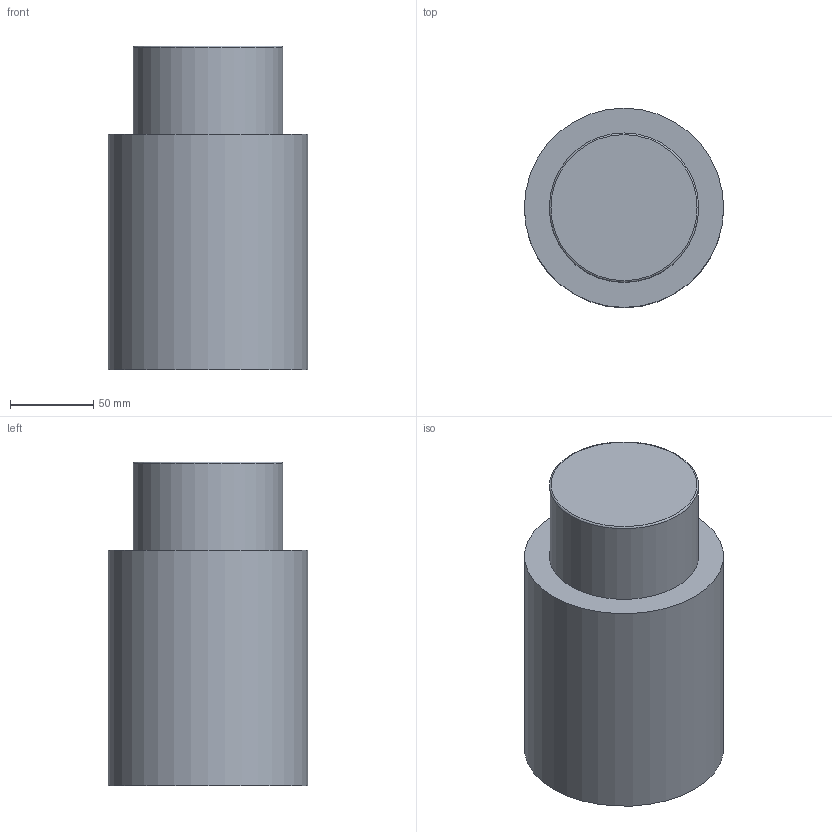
import cadquery as cq

body_diameter = 120.0
body_height = 142.0
neck_diameter = 90.0
total_height = 195.0
neck_fillet = 1.0

neck_height = total_height - body_height


def make_body():
    """Large cylinder standing on the XY plane."""
    return cq.Workplane("XY").circle(body_diameter / 2).extrude(body_height)


def make_neck():
    """Smaller coaxial cylinder on top of the body, with a rounded top edge."""
    neck = (
        cq.Workplane("XY")
        .workplane(offset=body_height)
        .circle(neck_diameter / 2)
        .extrude(neck_height)
    )
    return neck.faces(">Z").edges().fillet(neck_fillet)


result = make_body().union(make_neck())